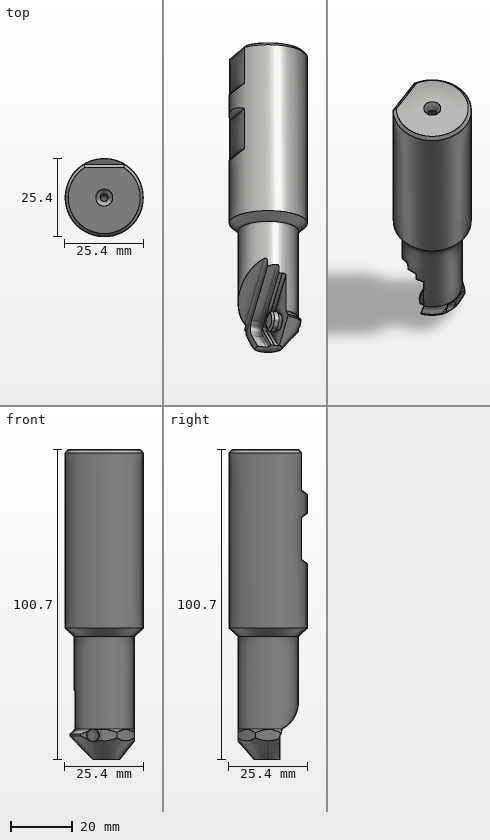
import cadquery as cq
import math


total_length = 100.7
shank_radius = 12.7
shank_chamfer = 1.0
shoulder_top = 42.7
shoulder_bottom = 40.0
neck_radius = 9.8

flat_y = 10.85
flat_wall_angle = 37.0
notch_bottom, notch_top = 65.0, 78.7
upper_flat_bottom = 87.5

centre_mouth_radius = 2.75
centre_pilot_radius = 1.25
centre_cone_angle = 30.0
centre_pilot_depth = 3.0

head_top = 10.0
nose_centre_x, nose_radius = 0.35, 4.6
band_bottom, band_top = 7.7, 8.25
band_centre_x, band_radius = -0.1, 11.3
collar_bottom, collar_radius = 9.4, 10.15

facet_distance = 9.9
facet_directions = [-103, -90, -45, 0]

pocket_mid_z = 7.85
flute_floor_y, flute_apex_x = 3.8, 10.85
clearance_floor_y, clearance_apex_x, clearance_radius = 0.15, 7.75, 3.75
seat_floor_y, seat_apex_x, seat_radius = -2.5, 4.95, 1.0
seat_relief_y = -1.06
seat_relief = 0.15
flute_fillet = 1.0
clearance_fillet = 0.6
reach = 40.0

screw_x, screw_z = -3.64, 7.85
screw_radius = 2.05
screw_end_y = -7.2
screw_neck_radius = 2.5
screw_head_radius = 3.3
screw_head_low_y, screw_head_high_y = -1.0, 0.6
screw_top_y = 1.2


def make_shank():
    profile = [
        (0, head_top),
        (neck_radius, head_top),
        (neck_radius, shoulder_bottom),
        (shank_radius, shoulder_top),
        (shank_radius, total_length),
        (0, total_length),
    ]
    shank = cq.Workplane("XZ").polyline(profile).close().revolve(360, (0, 0), (0, 1))
    shank = shank.cut(make_flat_cut(upper_flat_bottom, total_length + reach))
    shank = shank.faces(">Z").chamfer(shank_chamfer)
    shank = shank.cut(make_flat_cut(notch_bottom, notch_top))
    return shank.cut(make_centre_hole())


def make_flat_cut(bottom, top):
    """Notch down to the flat, with end walls that flare outwards."""
    depth = 2 * (shank_radius - flat_y)
    flare = depth * math.tan(math.radians(flat_wall_angle))
    outline = [
        (flat_y, bottom),
        (flat_y, top),
        (flat_y + depth, top + flare),
        (flat_y + depth, bottom - flare),
    ]
    return cq.Workplane("YZ").polyline(outline).close().extrude(shank_radius, both=True)


def make_centre_hole():
    cone_depth = (centre_mouth_radius - centre_pilot_radius) / math.tan(math.radians(centre_cone_angle))
    cone_bottom = total_length - cone_depth
    profile = [
        (0, total_length),
        (centre_mouth_radius, total_length),
        (centre_pilot_radius, cone_bottom),
        (centre_pilot_radius, cone_bottom - centre_pilot_depth),
        (0, cone_bottom - centre_pilot_depth - centre_pilot_radius),
    ]
    return cq.Workplane("XZ").polyline(profile).close().revolve(360, (0, 0), (0, 1))


def make_head_cone(bottom_z, bottom_x, bottom_radius, top_z, top_x, top_radius):
    bottom = cq.Workplane("XY", origin=(bottom_x, 0, bottom_z)).circle(bottom_radius)
    top = bottom.workplane(offset=top_z - bottom_z).center(top_x - bottom_x, 0)
    return top.circle(top_radius).loft(ruled=True)


def make_head():
    levels = [
        (0, nose_centre_x, nose_radius),
        (band_bottom, band_centre_x, band_radius),
        (band_top, band_centre_x, band_radius),
        (collar_bottom, 0, collar_radius),
        (head_top, 0, neck_radius),
    ]
    head = cq.Workplane("XY")
    for lower, upper in zip(levels, levels[1:]):
        head = head.add(make_head_cone(*lower, *upper))
    head = head.combine()
    for direction in facet_directions:
        head = head.cut(make_facet_cut(direction))
    return head


def make_facet_cut(direction):
    """Block that trims the head flat, facing the given direction in degrees from +X."""
    block = cq.Workplane("XY").box(reach, reach, head_top, centered=(False, True, False))
    return block.translate((facet_distance, 0, 0)).rotate((0, 0, 0), (0, 0, 1), direction)


def make_recess(apex_x, floor_y, top_y, corner_radius):
    """Square-cornered recess opening towards -X, with its corner rounded along Y."""
    outline = [
        (apex_x, pocket_mid_z),
        (apex_x - reach, pocket_mid_z + reach),
        (apex_x - reach, pocket_mid_z - reach),
    ]
    recess = cq.Workplane("XZ", origin=(0, floor_y, 0)).polyline(outline).close().extrude(floor_y - top_y)
    return recess.edges(">X").fillet(corner_radius)


def make_flute():
    """Open region below one 45 degree plane, filleted where the plane meets the floor."""
    outline = [
        (flute_apex_x - reach, pocket_mid_z + reach),
        (flute_apex_x + reach, pocket_mid_z - reach),
        (flute_apex_x - reach, pocket_mid_z - reach),
    ]
    plane = cq.Workplane("XZ", origin=(0, flute_floor_y, 0))
    flute = plane.polyline(outline).close().extrude(-2 * neck_radius)
    bottom_edge = cq.NearestToPointSelector((flute_apex_x, flute_floor_y, pocket_mid_z))
    return flute.edges(bottom_edge).fillet(flute_fillet)


def make_screw():
    """Countersunk screw as a revolved profile of (radius, Y) points."""
    profile = [
        (0, screw_end_y),
        (screw_radius, screw_end_y),
        (screw_radius, seat_floor_y),
        (screw_neck_radius, seat_floor_y),
        (screw_head_radius, screw_head_low_y),
        (screw_head_radius, screw_head_high_y),
        (screw_neck_radius, screw_top_y),
        (0, screw_top_y),
    ]
    screw = cq.Workplane("XY").polyline(profile).close().revolve(360, (0, 0), (0, 1))
    return screw.translate((screw_x, 0, screw_z))


def make_holder():
    holder = make_shank().union(make_head())
    holder = holder.cut(make_flute())
    clearance = make_recess(clearance_apex_x, clearance_floor_y, flute_floor_y, clearance_radius)
    holder = holder.cut(clearance.faces("<Y").edges(">X").fillet(clearance_fillet))
    holder = holder.cut(make_recess(seat_apex_x, seat_relief_y, clearance_floor_y, seat_radius))
    holder = holder.cut(make_recess(seat_apex_x + seat_relief, seat_floor_y, seat_relief_y, seat_radius))
    screw_plane = cq.Workplane("XZ", origin=(screw_x, seat_floor_y, screw_z))
    screw_hole = screw_plane.circle(screw_radius).extrude(shank_radius)
    return holder.cut(screw_hole)


holder = make_holder()
screw = make_screw()

result = cq.Compound.makeCompound([holder.val(), screw.val()])